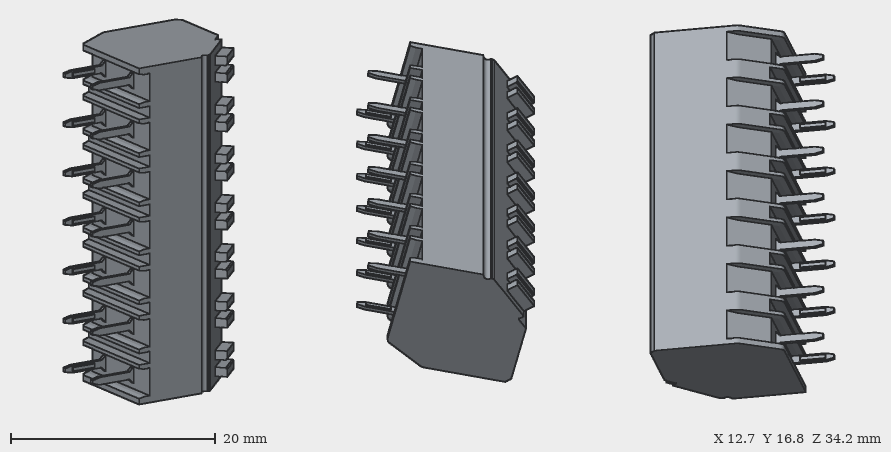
import cadquery as cq
import math

length = 34.2
pole_count = 7
pitch = 5.0

width = 12.7
depth = 12.93
back_chamfer = 0.5
front_corner_y = 4.07
front_slope = math.radians(31)
front_corner_x = front_corner_y * math.tan(front_slope)
upper_blend_radius = 1.03
lower_blend_radius = 0.6
notch_start_x = 7.0
notch_drop = 1.0
lip_rise = 0.45
lip_x = notch_start_x + notch_drop + lip_rise
lip_y = depth - notch_drop + lip_rise
bevel_end_x = 12.28
bevel_end_y = lip_y - (bevel_end_x - lip_x)
nose_x = 12.38
nose_top_y = 8.3
groove_bottom_x = 12.2
groove_top_y = 8.15
groove_bottom_y = 7.5
groove_middle_y = (groove_top_y + groove_bottom_y) / 2
side_top_y = 7.32

recess_depth = 1.23
recess_corner_y = 5.2
recess_height = 3.05
rib_bevel_rise = 0.12
rib_bevel_run = 0.58
slot_height = 1.15

pin_centers_x = (4.6, 9.6)
pin_thickness = 0.38
pin_width = 0.75
pin_root_width = 1.68
pin_root_length = 0.48
pin_tip_width = 0.38
pin_tip_length = 0.82
pin_reach = 3.5
ridge_height = 0.15
ridge_start_y = -0.15
ridge_width = 0.4

button_top_y = 13.25
button_length = 3.1
button_width = 0.92
button_offset = 0.85
button_chamfer = 0.15
button_root = 0.35

pole_levels = [length / 2 + (i - (pole_count - 1) / 2) * pitch for i in range(pole_count)]
slot_levels = [level + pitch / 2 for level in pole_levels[:-1]]


def make_housing():
    """Prism along Z with the two front corner edges blended."""
    outline = (
        cq.Workplane("XY")
        .moveTo(front_corner_x, 0)
        .lineTo(width, 0)
        .lineTo(width, side_top_y)
        .lineTo(nose_x, groove_bottom_y)
        .threePointArc((groove_bottom_x, groove_middle_y), (nose_x, groove_top_y))
        .lineTo(nose_x, nose_top_y)
        .lineTo(bevel_end_x, bevel_end_y)
        .lineTo(lip_x, lip_y)
        .lineTo(notch_start_x + notch_drop, depth - notch_drop)
        .lineTo(notch_start_x, depth)
        .lineTo(back_chamfer, depth)
        .lineTo(0, depth - back_chamfer)
        .lineTo(0, front_corner_y)
        .close()
    )
    housing = outline.extrude(length)
    upper_edge = cq.NearestToPointSelector((0, front_corner_y, length / 2))
    lower_edge = cq.NearestToPointSelector((front_corner_x, 0, length / 2))
    housing = housing.edges(upper_edge).fillet(upper_blend_radius)
    return housing.edges(lower_edge).fillet(lower_blend_radius)


def front_outline(inset, z):
    """Left, slanted and front sides of the housing, moved inwards by inset."""
    slant_shift = inset * math.tan(front_slope / 2)
    front_shift = inset * math.tan(math.pi / 4 - front_slope / 2)
    return (
        cq.Workplane("XY", origin=(0, 0, z))
        .moveTo(inset, depth)
        .lineTo(inset, front_corner_y + slant_shift)
        .lineTo(front_corner_x + front_shift, inset)
        .lineTo(width, inset)
        .lineTo(width, depth)
        .close()
        .val()
    )


def make_recess(level):
    """Space around the pole, between ribs whose facing edges are bevelled."""
    core_corner_x = (recess_corner_y - recess_depth) * math.tan(front_slope)
    space = (
        cq.Workplane("XY", origin=(0, 0, level - recess_height / 2))
        .moveTo(0, recess_corner_y)
        .lineTo(core_corner_x, recess_depth)
        .lineTo(width, recess_depth)
        .lineTo(width, 0)
        .lineTo(0, 0)
        .close()
        .extrude(recess_height)
    )
    for side in (-1, 1):
        outer_z = level + side * recess_height / 2
        inner_z = outer_z - side * rib_bevel_rise
        wires = [front_outline(0, outer_z), front_outline(rib_bevel_run, inner_z)]
        space = space.cut(cq.Workplane(cq.Solid.makeLoft(wires, True)))
    return space


def make_slot(level):
    """Straight slot across the front, midway between two poles."""
    centered = (False, False, True)
    slot = cq.Workplane("XY").box(width, recess_depth, slot_height, centered)
    return slot.translate((0, 0, level))


def make_pin(center_x, ridge_side, level):
    """Flat pin with a flared root, a tapered tip and a ridge on one face."""
    shoulder_y = recess_depth - pin_root_length
    tip_start_y = pin_tip_length - pin_reach
    half_profile = [
        (recess_depth, pin_root_width / 2),
        (shoulder_y, pin_width / 2),
        (tip_start_y, pin_width / 2),
        (-pin_reach, pin_tip_width / 2),
    ]
    mirrored = [(y, -z) for y, z in reversed(half_profile)]
    blade = (
        cq.Workplane("YZ", origin=(center_x, 0, level))
        .polyline(half_profile + mirrored)
        .close()
        .extrude(pin_thickness / 2, both=True)
    )
    ridge_length = ridge_start_y - tip_start_y
    ridge = (
        cq.Workplane("XY")
        .box(pin_thickness / 2 + ridge_height, ridge_length, ridge_width)
        .translate((
            center_x + ridge_side * (pin_thickness / 2 + ridge_height) / 2,
            tip_start_y + ridge_length / 2,
            level,
        ))
    )
    return blade.union(ridge)


def make_button(level, side):
    """Block standing on the bevel, its top edge chamfered towards the pole centre."""
    height = (button_top_y - lip_y) * math.sqrt(2)
    inner_edge = "<Z" if side > 0 else ">Z"
    return (
        cq.Workplane("XY")
        .box(button_length, height + button_root, button_width, (False, False, True))
        .faces(">Y").edges(inner_edge).chamfer(button_chamfer)
        .translate((0, -button_root, 0))
        .rotate((0, 0, 0), (0, 0, 1), -45)
        .translate((lip_x, lip_y, level + side * button_offset))
    )


result = make_housing()
for level in slot_levels:
    result = result.cut(make_slot(level))
for level in pole_levels:
    result = result.cut(make_recess(level))
    for center_x, ridge_side in zip(pin_centers_x, (1, -1)):
        result = result.union(make_pin(center_x, ridge_side, level))
    for side in (-1, 1):
        result = result.union(make_button(level, side))